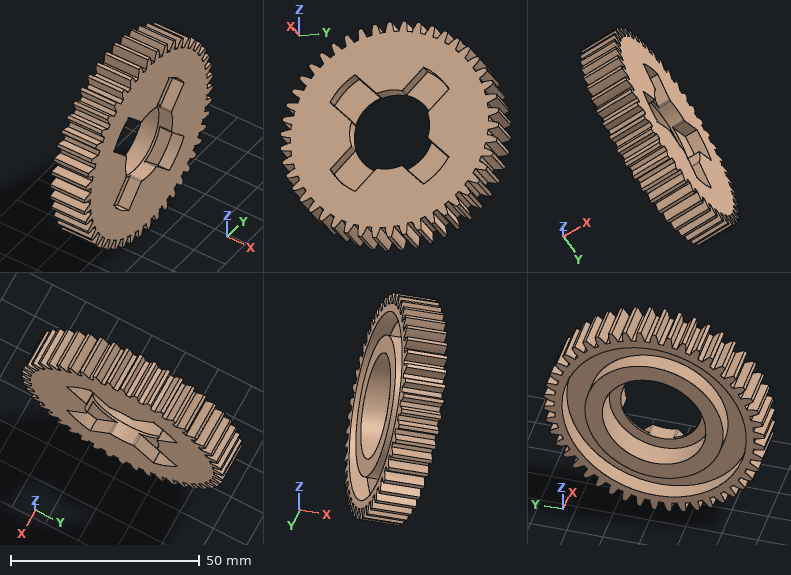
import cadquery as cq
import math

face_width = 11.1
tooth_count = 46
tip_radius = 30.5
pitch_radius = tip_radius * tooth_count / (tooth_count + 2)
root_radius = 27.6
tip_tooth_width = 1.05
pitch_tooth_width = 1.8
root_tooth_width = 2.45

recess_outer_radius = 25.4
hub_radius = 19.1
recess_depth = 4.75

counterbore_radius = 14.25
counterbore_depth = 6.7
bore_radius = 11.1

slot_width = 9.9
slot_depth = 3.65
slot_end_radius = hub_radius
slot_edge_fillet = 0.5
slot_angles = (45, 135)

front_x = -face_width / 2
back_x = face_width / 2
tolerance = 0.005


def disc(radius, start_x, length):
    """Cylinder along +X starting at start_x."""
    return cq.Workplane("YZ", origin=(start_x, 0, 0)).circle(radius).extrude(length)


def polar_point(radius, angle):
    return (radius * math.cos(angle), radius * math.sin(angle))


def half_angle(radius, tooth_width):
    """Angle from the tooth centre line to its flank at the given radius."""
    return math.asin(tooth_width / 2 / radius)


def gear_blank():
    """Toothed disc with bulged flanks and one tooth pointing along +Z."""
    tooth_pitch = 2 * math.pi / tooth_count
    root_half = half_angle(root_radius, root_tooth_width)
    pitch_half = half_angle(pitch_radius, pitch_tooth_width)
    tip_half = half_angle(tip_radius, tip_tooth_width)

    first_centre = math.pi / 2
    outline = cq.Workplane("YZ", origin=(front_x, 0, 0))
    outline = outline.moveTo(*polar_point(root_radius, first_centre - root_half))
    for i in range(tooth_count):
        centre = first_centre + i * tooth_pitch
        outline = outline.threePointArc(
            polar_point(pitch_radius, centre - pitch_half),
            polar_point(tip_radius, centre - tip_half),
        )
        outline = outline.threePointArc(
            polar_point(tip_radius, centre),
            polar_point(tip_radius, centre + tip_half),
        )
        outline = outline.threePointArc(
            polar_point(pitch_radius, centre + pitch_half),
            polar_point(root_radius, centre + root_half),
        )
        outline = outline.threePointArc(
            polar_point(root_radius, centre + tooth_pitch / 2),
            polar_point(root_radius, centre + tooth_pitch - root_half),
        )
    return outline.close().extrude(face_width)


def front_recess():
    ring = disc(recess_outer_radius, front_x, recess_depth)
    return ring.cut(disc(hub_radius, front_x, recess_depth))


def drive_slot(angle):
    """Slot across the back face, turned about X, with ends rounded to slot_end_radius."""
    slot = cq.Workplane("XY").box(slot_depth, slot_width, 2 * slot_end_radius)
    slot = slot.translate((back_x - slot_depth / 2, 0, 0))
    slot = slot.rotate((0, 0, 0), (1, 0, 0), angle)
    return slot.intersect(disc(slot_end_radius, back_x - slot_depth, slot_depth))


def is_slot_edge(edge):
    """True for the corner lines where the slot walls meet the bore."""
    centre = edge.Center()
    on_bore = abs(math.hypot(centre.y, centre.z) - bore_radius) < tolerance
    return on_bore and abs(edge.Length() - slot_depth) < tolerance


result = gear_blank()
result = result.cut(front_recess())
result = result.cut(disc(counterbore_radius, front_x, counterbore_depth))
result = result.cut(disc(bore_radius, front_x, face_width))
for slot_angle in slot_angles:
    result = result.cut(drive_slot(slot_angle))
result = result.edges("|X").filter(is_slot_edge).fillet(slot_edge_fillet)